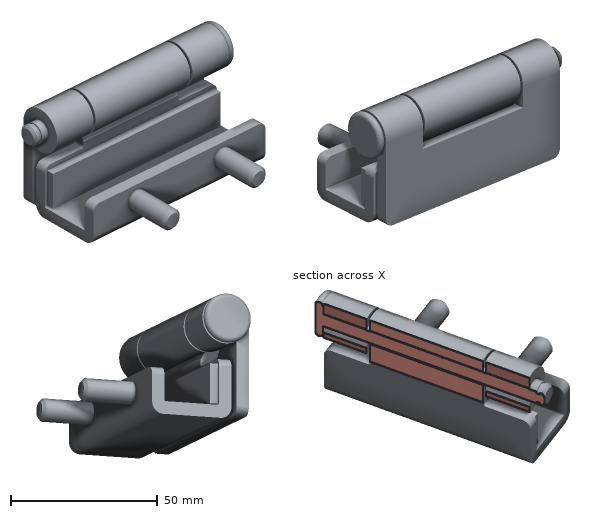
import cadquery as cq
import math


overall_length = 89.0
overall_width = 53.85
overall_height = 43.1
leaf_length = 80.0
pin_diameter = 8.0
knuckle_diameter = 17.0

pin_radius = pin_diameter / 2
knuckle_radius = knuckle_diameter / 2
sheet = knuckle_radius - pin_radius
roll_gap = 0.1

door_leaf_drop = 33.0
door_corner_radius = 3.0
slot_length = 46.0

middle_knuckle_length = 44.0
leaf_gap = 1.9
channel_width = 29.0
channel_bend_radius = 4.0
channel_root_radius = 0.5
bend_height = -12.55
tall_flange_top = -13.6
short_flange_top = -18.0
flange_corner_radius = 3.0
knuckle_root_radius = 1.0

channel_left = -pin_radius + leaf_gap
channel_right = channel_left + channel_width
channel_bottom = knuckle_radius - overall_height
channel_floor = channel_bottom + sheet
tall_flange_inner = channel_left + sheet
short_flange_inner = channel_right - sheet

plate_thickness = 3.0
plate_height = 14.0
plate_length = 78.0

head_thickness = 3.0
groove_start = 2.85
groove_width = 1.1
groove_diameter = 7.0
pin_chamfer = 1.0

stud_diameter = 8.0
stud_spacing = 40.05
stud_height = -24.1
stud_chamfer = 1.2
stud_length = overall_width - knuckle_radius - channel_right


def around_pin(radius, turn):
    """Point at a radius from the pin axis, turned from -X downwards, in degrees."""
    angle = math.radians(turn)
    return (-radius * math.cos(angle), -radius * math.sin(angle))


def extrude_centred(outline, length):
    return outline.extrude(length / 2, both=True)


def fillet_edge(body, edge_middle, radius):
    return body.edges(cq.selectors.NearestToPointSelector(edge_middle)).fillet(radius)


def rolled_outline(tilt, tail):
    """Sheet rolled around the pin. It leaves the roll at the tilt angle and runs
    through the tail points, listed from its inner face round to its outer face."""
    end = tilt + math.degrees(math.acos((pin_radius - roll_gap) / knuckle_radius))
    opposite = (tilt + end) / 2 + 180
    return (
        cq.Workplane("XZ")
        .moveTo(*around_pin(knuckle_radius, tilt))
        .threePointArc(around_pin(knuckle_radius, opposite), around_pin(knuckle_radius, end))
        .lineTo(*around_pin(pin_radius, end))
        .threePointArc(around_pin(pin_radius, opposite), around_pin(pin_radius, tilt))
        .polyline(tail, includeCurrent=True)
        .close()
    )


def make_middle_knuckle():
    """Roll with a sheet that slants down, tangent to the roll, into the tall flange."""
    bend_distance = math.hypot(channel_left, bend_height)
    bend_turn = math.degrees(math.atan2(-bend_height, -channel_left))
    tilt = bend_turn - math.degrees(math.acos(knuckle_radius / bend_distance))
    slant = math.radians(tilt)
    inner_bend = -(pin_radius + tall_flange_inner * math.cos(slant)) / math.sin(slant)
    tail = [
        (tall_flange_inner, inner_bend),
        (tall_flange_inner, tall_flange_top),
        (channel_left, tall_flange_top),
        (channel_left, bend_height),
    ]
    return extrude_centred(rolled_outline(tilt, tail), middle_knuckle_length)


def make_channel():
    outline = cq.Workplane("XZ").polyline([
        (channel_left, tall_flange_top),
        (channel_left, channel_bottom),
        (channel_right, channel_bottom),
        (channel_right, short_flange_top),
        (short_flange_inner, short_flange_top),
        (short_flange_inner, channel_floor),
        (tall_flange_inner, channel_floor),
        (tall_flange_inner, tall_flange_top),
    ]).close()
    channel = extrude_centred(outline, leaf_length)
    channel = channel.faces("<Z").edges("|Y").fillet(channel_bend_radius)
    for end in (-1, 1):
        for flange_middle, top in (
            (channel_left + sheet / 2, tall_flange_top),
            (channel_right - sheet / 2, short_flange_top),
        ):
            channel = fillet_edge(channel, (flange_middle, end * leaf_length / 2, top), flange_corner_radius)
    for root in (tall_flange_inner, short_flange_inner):
        channel = fillet_edge(channel, (root, 0, channel_floor), channel_root_radius)
    return channel


def make_frame_leaf():
    leaf = make_channel().union(make_middle_knuckle())
    for end in (-1, 1):
        root = (channel_left + sheet / 2, end * middle_knuckle_length / 2, tall_flange_top)
        leaf = fillet_edge(leaf, root, knuckle_root_radius)
    return leaf


def make_door_leaf(frame_leaf):
    tail = [(-pin_radius, -door_leaf_drop), (-knuckle_radius, -door_leaf_drop)]
    leaf = extrude_centred(rolled_outline(0, tail), leaf_length)
    leaf = leaf.faces("<Z").edges("|X").fillet(door_corner_radius)
    slot = (
        cq.Workplane("XY")
        .workplane(offset=-knuckle_radius)
        .rect(2 * knuckle_diameter, slot_length)
        .extrude(2 * knuckle_diameter)
    )
    return leaf.cut(slot).cut(frame_leaf)


def make_backing_plate():
    return cq.Workplane("XY").box(
        plate_thickness, plate_length, plate_height, centered=(False, True, False)
    ).translate((tall_flange_inner, 0, channel_floor + channel_root_radius))


def cylinder_along_y(diameter, start, length):
    return cq.Workplane("XZ", origin=(0, start, 0)).circle(diameter / 2).extrude(-length)


def make_pin():
    head_seat = leaf_length / 2
    tip = head_seat + head_thickness - overall_length
    shank = cylinder_along_y(pin_diameter, tip, head_seat - tip)
    shank = shank.faces("<Y").chamfer(pin_chamfer)
    head_flat = knuckle_radius - head_thickness / 2
    head = (
        cq.Workplane("XY")
        .moveTo(0, head_seat)
        .lineTo(head_flat, head_seat)
        .threePointArc(
            (knuckle_radius, head_seat + head_thickness / 2),
            (head_flat, head_seat + head_thickness),
        )
        .lineTo(0, head_seat + head_thickness)
        .close()
        .revolve(360, (0, 0, 0), (0, 1, 0))
    )
    groove_near_tip = -leaf_length / 2 - groove_start - groove_width
    groove = cylinder_along_y(knuckle_diameter, groove_near_tip, groove_width).cut(
        cylinder_along_y(groove_diameter, groove_near_tip, groove_width)
    )
    return shank.cut(groove).union(head)


def make_stud(position):
    return (
        cq.Workplane("YZ", origin=(channel_right, position, stud_height))
        .circle(stud_diameter / 2)
        .extrude(stud_length)
        .faces(">X")
        .chamfer(stud_chamfer)
    )


frame_leaf = make_frame_leaf()
door_leaf = make_door_leaf(frame_leaf)
backing_plate = make_backing_plate()
pin = make_pin()
studs = [make_stud(side * stud_spacing / 2) for side in (-1, 1)]

result = cq.Compound.makeCompound([
    frame_leaf.solids().val(),
    door_leaf.solids().val(),
    backing_plate.solids().val(),
    pin.solids().val(),
    *[stud.solids().val() for stud in studs],
])